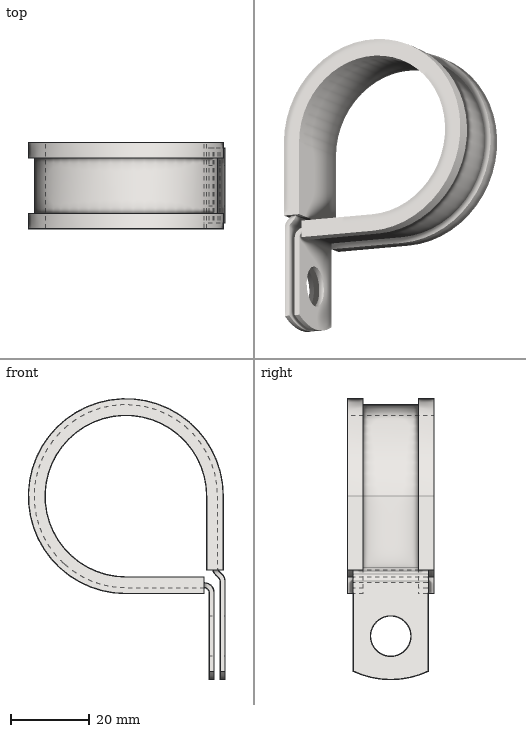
import cadquery as cq
import math

cushion_radius = 24.9
cushion_thickness = 4.3
cushion_width = 22.1
flange_width = 4.0
groove_depth = 1.5
side_leg_end_z = -18.85
bottom_leg_end_x = 19.95

strap_thickness = 1.3
tab_width = 19.15
bend_inner_radius = 1.2
inner_tab_outer_x = 22.5
outer_tab_outer_x = 25.3
jog_angle = 45
jog_start_z = -18.2

overall_height = 71.7
tab_end_sagitta = 2.15
hole_diameter = 10.25
hole_z = -35.7

groove_radius = cushion_radius - groove_depth
groove_width = cushion_width - 2 * flange_width
bend_outer_radius = bend_inner_radius + strap_thickness
tab_bottom_z = cushion_radius - overall_height


def extrude_centred(outline, width):
    """Extrude a closed XZ outline evenly to both sides of the XZ plane."""
    return outline.close().extrude(width / 2, both=True)


def loop_band(outer_radius, inner_radius, width):
    """Three-quarter loop with a leg down its +X side and a leg along its bottom."""
    diagonal = math.sqrt(0.5)
    outline = (
        cq.Workplane("XZ")
        .moveTo(outer_radius, side_leg_end_z)
        .lineTo(outer_radius, 0)
        .threePointArc((-outer_radius * diagonal, outer_radius * diagonal), (0, -outer_radius))
        .lineTo(bottom_leg_end_x, -outer_radius)
        .lineTo(bottom_leg_end_x, -inner_radius)
        .lineTo(0, -inner_radius)
        .threePointArc((-inner_radius * diagonal, inner_radius * diagonal), (inner_radius, 0))
        .lineTo(inner_radius, side_leg_end_z)
    )
    return extrude_centred(outline, width)


def on_circle(centre, radius, degrees):
    angle = math.radians(degrees)
    return (centre[0] + radius * math.cos(angle), centre[1] + radius * math.sin(angle))


def add_arc(outline, centre, radius, start, end):
    """Continue an outline along an arc between two angles in degrees."""
    middle = on_circle(centre, radius, (start + end) / 2)
    return outline.threePointArc(middle, on_circle(centre, radius, end))


def make_inner_tab():
    """Tab turned down by a quarter bend from the strap in the bottom leg."""
    strap_top_z = strap_thickness - groove_radius
    centre = (inner_tab_outer_x - bend_outer_radius, strap_top_z - bend_outer_radius)
    outline = cq.Workplane("XZ").moveTo(0, strap_top_z)
    outline = outline.lineTo(centre[0], strap_top_z)
    outline = add_arc(outline, centre, bend_outer_radius, 90, 0)
    outline = outline.lineTo(inner_tab_outer_x, tab_bottom_z)
    outline = outline.lineTo(inner_tab_outer_x - strap_thickness, tab_bottom_z)
    outline = outline.lineTo(inner_tab_outer_x - strap_thickness, centre[1])
    outline = add_arc(outline, centre, bend_inner_radius, 0, 90)
    outline = outline.lineTo(0, -groove_radius)
    return extrude_centred(outline, tab_width)


def make_outer_tab():
    """Tab jogged outward by two opposite bends from the strap in the side leg."""
    upper = (groove_radius + bend_inner_radius, jog_start_z)
    lower_x = outer_tab_outer_x - bend_outer_radius
    angle = math.radians(jog_angle)
    bend_radii = bend_inner_radius + bend_outer_radius
    slope_run = outer_tab_outer_x - groove_radius - bend_radii * (1 - math.cos(angle))
    jog_height = bend_radii * math.sin(angle) + slope_run / math.tan(angle)
    lower = (lower_x, jog_start_z - jog_height)

    outline = cq.Workplane("XZ").moveTo(groove_radius, 0)
    outline = outline.lineTo(groove_radius, jog_start_z)
    outline = add_arc(outline, upper, bend_inner_radius, 180, 180 + jog_angle)
    outline = outline.lineTo(*on_circle(lower, bend_outer_radius, jog_angle))
    outline = add_arc(outline, lower, bend_outer_radius, jog_angle, 0)
    outline = outline.lineTo(outer_tab_outer_x, tab_bottom_z)
    outline = outline.lineTo(outer_tab_outer_x - strap_thickness, tab_bottom_z)
    outline = outline.lineTo(outer_tab_outer_x - strap_thickness, lower[1])
    outline = add_arc(outline, lower, bend_inner_radius, 0, jog_angle)
    outline = outline.lineTo(*on_circle(upper, bend_outer_radius, 180 + jog_angle))
    outline = add_arc(outline, upper, bend_outer_radius, 180 + jog_angle, 180)
    outline = outline.lineTo(groove_radius - strap_thickness, 0)
    return extrude_centred(outline, tab_width)


def make_tab_envelope():
    """Side profile of the tabs with a rounded lower end and the bolt hole."""
    half_width = tab_width / 2
    corner_z = tab_bottom_z + tab_end_sagitta
    return (
        cq.Workplane("YZ")
        .moveTo(-half_width, 0)
        .lineTo(-half_width, corner_z)
        .threePointArc((0, tab_bottom_z), (half_width, corner_z))
        .lineTo(half_width, 0)
        .close()
        .moveTo(0, hole_z)
        .circle(hole_diameter / 2)
        .extrude(outer_tab_outer_x)
    )


def make_cushion():
    """Loop with full-height flanges on both sides of a recessed middle."""
    inner_radius = cushion_radius - cushion_thickness
    full_loop = loop_band(cushion_radius, inner_radius, cushion_width)
    groove = loop_band(cushion_radius, groove_radius, groove_width)
    return full_loop.cut(groove)


tabs = make_inner_tab().union(make_outer_tab()).intersect(make_tab_envelope())
result = make_cushion().union(tabs)